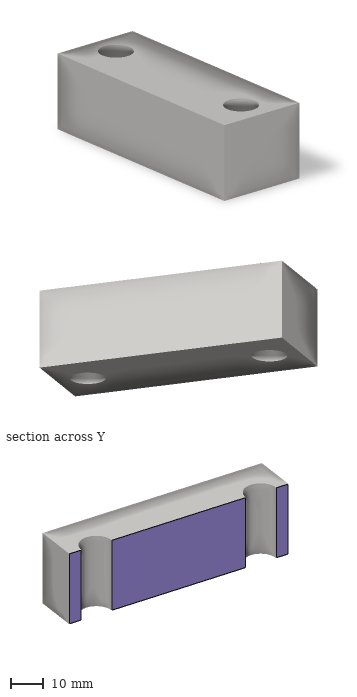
import cadquery as cq

length = 80.0
width = 30.0
height = 25.0

hole_diameter = 11.0
hole_spacing = 60.0

block = cq.Workplane("XY").box(length, width, height)

result = (
    block.faces(">Z")
    .workplane()
    .rarray(hole_spacing, 0.8, 2, 1)
    .hole(hole_diameter)
)